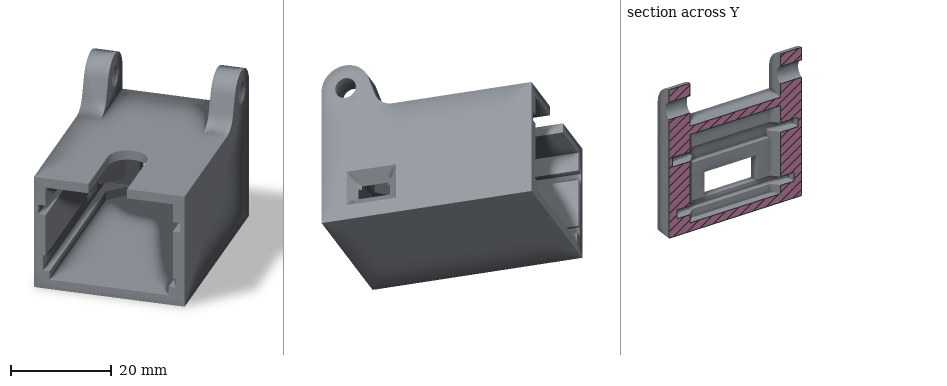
import cadquery as cq
import math

width = 31.3
length = 44.0
body_height = 24.2
total_height = 34.2

lug_thickness = 5.0
lug_radius = 5.0
lug_reach = 14.9
lug_fillet = 4.0
pivot_diameter = 4.3
pivot_y = length - lug_radius
pivot_z = total_height - lug_radius

cavity_left = 2.45
cavity_right = 28.8
cavity_floor = 2.05
cavity_roof = 22.18
rear_left = 6.42
rear_right = 24.85
rear_wall = 2.6
cavity_end = length - rear_wall
ledge_left = 3.3
ledge_right = 28.0

slot_end_wall = 1.5
slot_end = length - slot_end_wall
upper_slot_left = 0.9
upper_slot_right = 30.35
upper_slot_bottom = 16.15
upper_slot_top = 18.2
lower_slot_left = 1.95
lower_slot_right = 29.4
lower_slot_bottom = 3.95
lower_slot_top = 5.9
left_relief_top = 7.25
connector_right = 24.55
connector_bottom = 14.6

notch_width = 8.0
notch_center_x = 15.35
notch_depth = 17.25
rear_window_left = 9.35
rear_window_right = 22.0
rear_window_bottom = 5.2
rear_window_top = 11.55
side_window_front = length - 15.58
side_window_rear = length - 5.2
side_window_bottom = 3.12
side_window_top = 10.5


def box(x0, x1, y0, y1, z0, z1):
    """Axis-aligned block between two opposite corners."""
    return cq.Workplane("XY").box(x1 - x0, y1 - y0, z1 - z0, centered=False).translate((x0, y0, z0))


def lug(left_x):
    """Rounded pivot ear blended into the roof by a tangent line and a concave arc."""
    blend_y = length - lug_reach
    blend_z = body_height + lug_fillet
    run = pivot_y - blend_y
    rise = blend_z - pivot_z
    normal_angle = math.acos((lug_radius + lug_fillet) / math.hypot(run, rise)) + math.atan2(rise, run)

    def on_ear(angle):
        return (pivot_y - lug_radius * math.cos(angle), pivot_z + lug_radius * math.sin(angle))

    def on_blend(angle):
        return (blend_y + lug_fillet * math.cos(angle), blend_z - lug_fillet * math.sin(angle))

    profile = (
        cq.Workplane("YZ", origin=(left_x, 0, 0))
        .moveTo(length, cavity_roof)
        .lineTo(length, pivot_z)
        .threePointArc(on_ear(math.pi / 2), on_ear(normal_angle))
        .lineTo(*on_blend(normal_angle))
        .threePointArc(on_blend((normal_angle + math.pi / 2) / 2), (blend_y, body_height))
        .lineTo(blend_y, cavity_roof)
        .close()
    )
    hole = (
        cq.Workplane("YZ", origin=(left_x, 0, 0))
        .center(pivot_y, pivot_z)
        .circle(pivot_diameter / 2)
        .extrude(lug_thickness)
    )
    return profile.extrude(lug_thickness).cut(hole)


def tapered_cavity(left, right, bottom, top):
    """Cavity layer whose side walls close in at 45 degrees to the rear width."""
    outline = [
        (left, 0),
        (right, 0),
        (right, cavity_end - (right - rear_right)),
        (rear_right, cavity_end),
        (rear_left, cavity_end),
        (left, cavity_end - (rear_left - left)),
    ]
    return cq.Workplane("XY", origin=(0, 0, bottom)).polyline(outline).close().extrude(top - bottom)


def side_window():
    """Opening in the left wall, shrinking inward at 45 degrees."""
    return (
        cq.Workplane("YZ")
        .center((side_window_front + side_window_rear) / 2, (side_window_bottom + side_window_top) / 2)
        .rect(side_window_rear - side_window_front, side_window_top - side_window_bottom)
        .extrude(cavity_left, taper=45)
    )


def roof_notch():
    """Round-ended notch in the roof, open at the mouth."""
    radius = notch_width / 2
    straight = notch_depth - radius
    return (
        cq.Workplane("XY", origin=(0, 0, cavity_roof))
        .moveTo(notch_center_x - radius, 0)
        .lineTo(notch_center_x - radius, straight)
        .threePointArc((notch_center_x, notch_depth), (notch_center_x + radius, straight))
        .lineTo(notch_center_x + radius, 0)
        .close()
        .extrude(body_height - cavity_roof)
    )


body = box(0, width, 0, length, 0, body_height)
for lug_x in (0, width - lug_thickness):
    body = body.union(lug(lug_x))

body = body.cut(tapered_cavity(cavity_left, cavity_right, lower_slot_bottom, cavity_roof))
body = body.cut(tapered_cavity(ledge_left, ledge_right, cavity_floor, lower_slot_bottom))

body = body.cut(box(upper_slot_left, upper_slot_right, 0, slot_end, upper_slot_bottom, upper_slot_top))
body = body.cut(box(rear_left, connector_right, 0, slot_end, connector_bottom, upper_slot_bottom))
body = body.cut(box(lower_slot_left, lower_slot_right, 0, slot_end, lower_slot_bottom, lower_slot_top))
relief_end = cavity_end - (rear_left - cavity_left)
body = body.cut(box(lower_slot_left, cavity_left, 0, relief_end, lower_slot_top, left_relief_top))

body = body.cut(
    box(rear_window_left, rear_window_right, cavity_end, length, rear_window_bottom, rear_window_top)
)
body = body.cut(side_window())
body = body.cut(roof_notch())

result = body